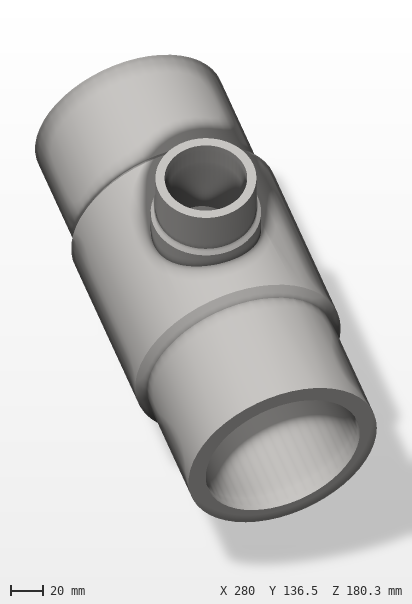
import cadquery as cq

length = 280.0
pipe_diameter = 125.0
pipe_bore = 102.2

body_diameter = 136.5
body_length = 128.2
body_chamfer = (body_diameter - pipe_diameter) / 2

overall_height = 180.3
branch_top = overall_height - body_diameter / 2
branch_diameter = 63.0
branch_bore = 51.5
branch_pipe_length = 31.5
collar_diameter = 69.0
collar_chamfer = (collar_diameter - branch_diameter) / 2
collar_top = branch_top - branch_pipe_length


def run_cylinder(diameter, cylinder_length):
    """Cylinder along X, centred on the origin."""
    start = cq.Workplane("YZ").workplane(offset=-cylinder_length / 2)
    return start.circle(diameter / 2).extrude(cylinder_length)


def branch_cylinder(diameter, top):
    """Cylinder along Z from the run axis up to the given height."""
    return cq.Workplane("XY").circle(diameter / 2).extrude(top)


pipe = run_cylinder(pipe_diameter, length)
body = run_cylinder(body_diameter, body_length).edges("%CIRCLE").chamfer(body_chamfer)
collar = branch_cylinder(collar_diameter, collar_top).faces(">Z").edges().chamfer(collar_chamfer)
branch = branch_cylinder(branch_diameter, branch_top)
outer = pipe.union(body).union(collar).union(branch)

result = outer.cut(run_cylinder(pipe_bore, length)).cut(branch_cylinder(branch_bore, branch_top))